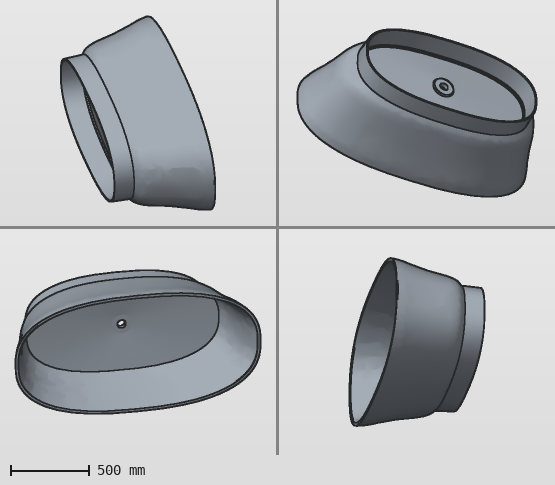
import cadquery as cq
import math

LENGTH = 1597.0
WIDTH = 810.0
HEIGHT = 605.0
OVAL_EXPONENT = 2.5
CIRCLE_EXPONENT = 2
OVAL_POINTS = 32

RIM_BAND = 6.0
WALL = 19.0

FOOT_HEIGHT = 128.0
FOOT_HALF_LENGTH = 599.0
FOOT_HALF_WIDTH = 302.0
FOOT_TAPER = 5.0
FOOT_WALL = 10.0

RECESS_DEPTH = 140.0
RECESS_INSET = 22.0
LEDGE_DEPTH = 13.0
LEDGE_WIDTH = 10.0
FLOOR_THICKNESS = 24.0

DRAIN_HOLE_RADIUS = 27.0
DRAIN_RING_RADIUS = 72.0
DRAIN_RING_TOP_RADIUS = 65.0
DRAIN_RING_HEIGHT = 11.0
FLOOR_FALL = 29.0

BODY_STATIONS = [
    (FOOT_HEIGHT, FOOT_HALF_LENGTH, FOOT_HALF_WIDTH),
    (168.0, 645.0, 325.0),
    (287.0, 696.0, 348.0),
    (439.0, 740.0, 375.0),
    (HEIGHT - RIM_BAND, LENGTH / 2, WIDTH / 2),
]


def oval(height, half_length, half_width, exponent=OVAL_EXPONENT):
    """Closed superellipse wire lying at the given height along Y."""
    points = []
    for i in range(OVAL_POINTS):
        angle = 2 * math.pi * i / OVAL_POINTS
        c = math.cos(angle)
        s = math.sin(angle)
        radius = (abs(c) ** exponent + abs(s) ** exponent) ** (-1 / exponent)
        points.append(cq.Vector(half_length * radius * c, height, half_width * radius * s))
    return cq.Wire.assembleEdges([cq.Edge.makeSpline(points, periodic=True)])


def oval_loft(stations, ruled=False):
    return cq.Workplane(obj=cq.Solid.makeLoft([oval(*station) for station in stations], ruled))


def inset(station, amount):
    height, half_length, half_width = station
    return (height, half_length - amount, half_width - amount)


def raised(station, height):
    return (height, station[1], station[2])


def floor_funnel(outline, height):
    """Shallow funnel from an oval at the given height down to the drain circle."""
    drain_circle = oval(height - FLOOR_FALL, DRAIN_RING_TOP_RADIUS, DRAIN_RING_TOP_RADIUS, CIRCLE_EXPONENT)
    edge = oval(*raised(outline, height))
    return cq.Workplane(obj=cq.Solid.makeLoft([drain_circle, edge], True))


def drain_cylinder(radius, bottom, top):
    return cq.Workplane("XZ", origin=(0, bottom, 0)).circle(radius).extrude(bottom - top)


rim = BODY_STATIONS[-1]
foot_top = BODY_STATIONS[0]
foot_bottom = inset(raised(foot_top, 0), FOOT_TAPER)
tub = oval_loft(BODY_STATIONS)
tub = tub.union(oval_loft([rim, raised(rim, HEIGHT)], ruled=True))
tub = tub.union(oval_loft([foot_bottom, foot_top], ruled=True))

floor_underside = RECESS_DEPTH + LEDGE_DEPTH
floor_top = floor_underside + FLOOR_THICKNESS
floor_outline = raised(BODY_STATIONS[1], floor_top)
cavity_stations = [inset(s, WALL) for s in [floor_outline] + BODY_STATIONS[2:]]
cavity_rim = cavity_stations[-1]
tub = tub.cut(oval_loft(cavity_stations))
tub = tub.cut(oval_loft([cavity_rim, raised(cavity_rim, HEIGHT)], ruled=True))

recess_mouth = inset(foot_bottom, FOOT_WALL)
recess_end = inset(raised(foot_top, RECESS_DEPTH), RECESS_INSET)
ledge_start = inset(recess_end, LEDGE_WIDTH)
recess = oval_loft([recess_mouth, recess_end], ruled=True)
recess = recess.union(oval_loft([ledge_start, raised(ledge_start, floor_underside)], ruled=True))
recess = recess.cut(floor_funnel(ledge_start, floor_underside))
tub = tub.cut(recess)

tub = tub.cut(floor_funnel(cavity_stations[0], floor_top))

drain_height = floor_underside - FLOOR_FALL
drain_ring = cq.Workplane(obj=cq.Solid.makeCone(
    DRAIN_RING_RADIUS,
    DRAIN_RING_TOP_RADIUS,
    DRAIN_RING_HEIGHT,
    pnt=cq.Vector(0, drain_height, 0),
    dir=cq.Vector(0, -1, 0),
))
drain_root = drain_cylinder(DRAIN_RING_RADIUS, drain_height, drain_height + FLOOR_THICKNESS / 2)
tub = tub.union(drain_ring.union(drain_root))
tub = tub.cut(drain_cylinder(DRAIN_HOLE_RADIUS, 0, HEIGHT))

result = tub